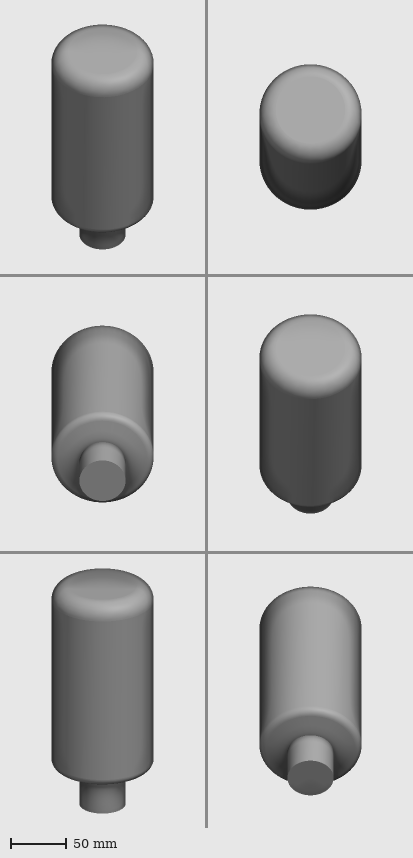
import cadquery as cq
import math

total_height = 220.0
shell_diameter = 93.0
stem_diameter = 42.0
stem_height = 27.0
neck_top = 35.0
top_round = 15.0
bottom_round = 7.0
underside_angle = 11.3

shell_radius = shell_diameter / 2
stem_radius = stem_diameter / 2


def arc_point(center_radius, center_height, arc_radius, angle):
    """Point on a profile arc; the angle is in radians above the outward radial direction."""
    return (
        center_radius + arc_radius * math.cos(angle),
        center_height + arc_radius * math.sin(angle),
    )


def make_shell():
    """Rounded cylinder with a shallow conical underside and a short neck."""
    slope = math.radians(underside_angle)

    lower_center_radius = shell_radius - bottom_round
    cone_height_at_center = neck_top + (lower_center_radius - stem_radius) * math.tan(slope)
    lower_center_height = cone_height_at_center + bottom_round / math.cos(slope)
    lower_start_angle = slope - math.pi / 2
    lower_arc = (lower_center_radius, lower_center_height, bottom_round)

    upper_arc = (shell_radius - top_round, total_height - top_round, top_round)

    profile = (
        cq.Workplane("XZ")
        .moveTo(0, stem_height)
        .lineTo(stem_radius, stem_height)
        .lineTo(stem_radius, neck_top)
        .lineTo(*arc_point(*lower_arc, lower_start_angle))
        .threePointArc(arc_point(*lower_arc, lower_start_angle / 2), arc_point(*lower_arc, 0))
        .lineTo(*arc_point(*upper_arc, 0))
        .threePointArc(arc_point(*upper_arc, math.pi / 4), arc_point(*upper_arc, math.pi / 2))
        .lineTo(0, total_height)
        .close()
    )
    return profile.revolve(360, (0, 0, 0), (0, 1, 0))


def make_stem():
    """Plain round stem that butts against the end of the neck."""
    return cq.Workplane("XY").circle(stem_radius).extrude(stem_height)


shell = make_shell()
stem = make_stem()

result = cq.Compound.makeCompound([shell.val(), stem.val()])